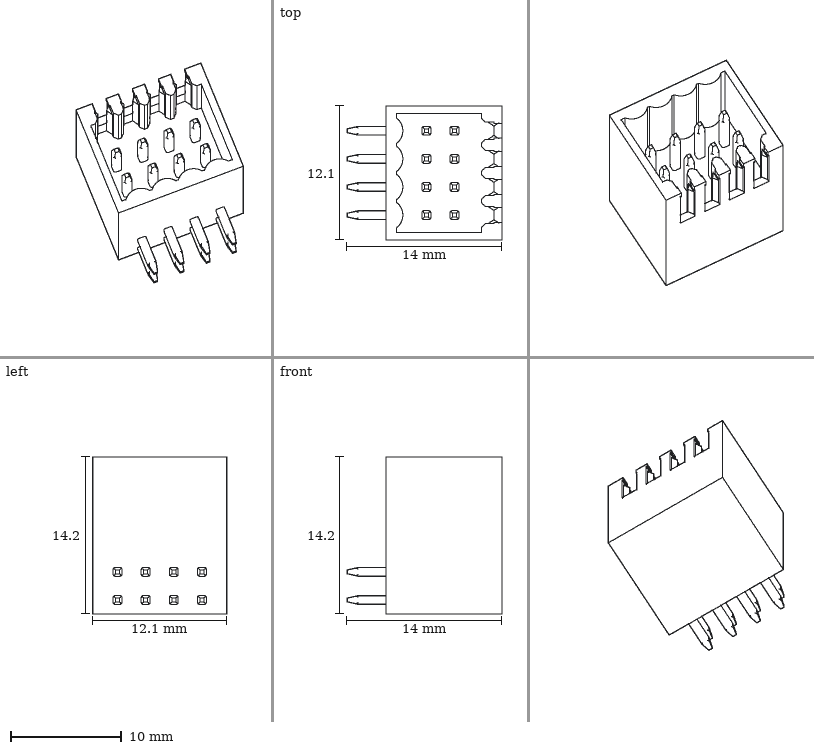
import cadquery as cq

contact_count = 4
row_count = 2
pitch = 2.54

housing_length = 10.5
housing_height = 14.2
end_margin = 2.25
housing_width = (contact_count - 1) * pitch + 2 * end_margin

cavity_depth = 7.2
side_wall = 0.7
scalloped_wall = 0.95
scallop_height = 0.575
scallop_half_width = 1.15
ribbed_wall = 1.875
cavity_floor = housing_height - cavity_depth

slot_half_width = 0.77
rib_chamfer = 0.35
outer_wall = 0.75
slot_outer_depth = 4.9
tab_height = 0.6
tab_depth = 0.1
wedge_half_length = 0.52
wedge_height = 0.35
wedge_top_drop = 1.2

pin_size = 0.8
pin_edge_radius = 0.2
pin_tip_size = 0.36
pin_tip_length = 1.0
pin_root = 1.0
tail_length = 3.5
contact_length = 5.13
first_column_x = 3.65
first_tail_z = pitch / 2

contact_ys = [(i - (contact_count - 1) / 2) * pitch for i in range(contact_count)]


def block(x_range, y_range, z_range):
    """Box spanning the given coordinate ranges."""
    size = [high - low for low, high in (x_range, y_range, z_range)]
    return cq.Workplane("XY").box(*size, centered=False).translate((x_range[0], y_range[0], z_range[0]))


def cavity():
    """Main pocket with one scallop per contact along the wall nearest the tails."""
    pocket = block(
        (scalloped_wall, housing_length - ribbed_wall),
        (side_wall - housing_width / 2, housing_width / 2 - side_wall),
        (cavity_floor, housing_height),
    )
    for y in contact_ys:
        scallop = (
            cq.Workplane("XY", origin=(scalloped_wall, y, cavity_floor))
            .moveTo(0, -scallop_half_width)
            .threePointArc((scallop_height, 0), (0, scallop_half_width))
            .close()
            .extrude(cavity_depth)
        )
        pocket = pocket.cut(scallop)
    return pocket


def slot(y):
    """Slot volume between two ribs, less the tabs and wedges on its flanks."""
    rib_tip_x = housing_length - ribbed_wall
    wall_x = housing_length - outer_wall
    mouth_half_width = slot_half_width + rib_chamfer
    inner = (
        cq.Workplane("XY", origin=(0, y, cavity_floor))
        .moveTo(rib_tip_x, -mouth_half_width)
        .lineTo(rib_tip_x + rib_chamfer, -slot_half_width)
        .lineTo(wall_x, -slot_half_width)
        .lineTo(wall_x, slot_half_width)
        .lineTo(rib_tip_x + rib_chamfer, slot_half_width)
        .lineTo(rib_tip_x, mouth_half_width)
        .close()
        .extrude(cavity_depth)
    )
    outer = block(
        (wall_x, housing_length),
        (y - slot_half_width, y + slot_half_width),
        (housing_height - slot_outer_depth, housing_height),
    )
    opening = inner.union(outer)
    for side in (-1, 1):
        flank = y + side * slot_half_width
        tab_edge = flank - side * tab_depth
        tab = block(
            (wall_x, housing_length),
            sorted((flank, tab_edge)),
            (housing_height - tab_height, housing_height),
        )
        wedge = (
            cq.Workplane("XY", origin=(wall_x, flank, cavity_floor))
            .moveTo(-wedge_half_length, 0)
            .lineTo(0, -side * wedge_height)
            .lineTo(wedge_half_length, 0)
            .close()
            .extrude(cavity_depth - wedge_top_drop)
        )
        opening = opening.cut(tab).cut(wedge)
    return opening


def pin(length):
    """Round-edged square pin along +Z, leaving the housing at Z = 0, with a tapered tip."""
    half_size = pin_size / 2
    half_tip = pin_tip_size / 2
    shank_top = length - pin_tip_length
    shank = (
        cq.Workplane("XY", origin=(0, 0, -pin_root))
        .rect(pin_size, pin_size)
        .extrude(pin_root + length)
        .edges("|Z")
        .fillet(pin_edge_radius)
    )
    for plane in ("XZ", "YZ"):
        tapered_outline = (
            cq.Workplane(plane)
            .moveTo(-half_size, -pin_root)
            .lineTo(-half_size, shank_top)
            .lineTo(-half_tip, length)
            .lineTo(half_tip, length)
            .lineTo(half_size, shank_top)
            .lineTo(half_size, -pin_root)
            .close()
            .extrude(half_size, both=True)
        )
        shank = shank.intersect(tapered_outline)
    return shank


result = block(
    (0, housing_length),
    (-housing_width / 2, housing_width / 2),
    (0, housing_height),
).cut(cavity())

for contact_y in contact_ys:
    result = result.cut(slot(contact_y))

contact_pin = pin(contact_length)
tail_pin = pin(tail_length).rotate((0, 0, 0), (0, 1, 0), -90)
for contact_y in contact_ys:
    for row in range(row_count):
        contact_x = first_column_x + row * pitch
        tail_z = first_tail_z + row * pitch
        result = result.union(contact_pin.translate((contact_x, contact_y, cavity_floor)))
        result = result.union(tail_pin.translate((0, contact_y, tail_z)))